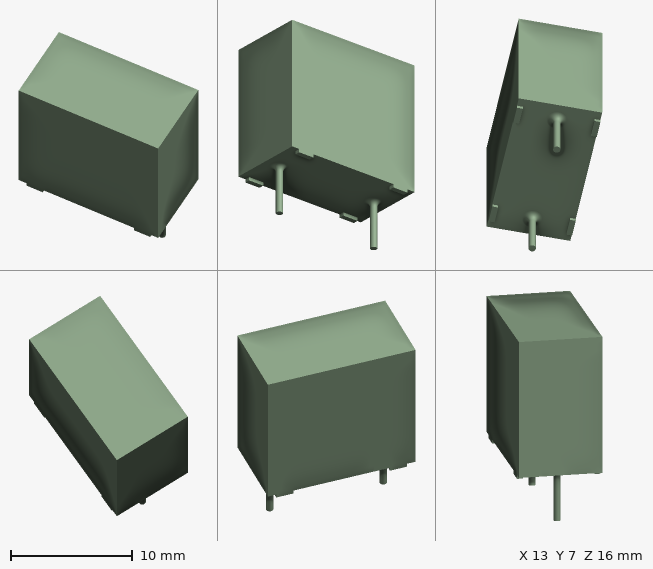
import cadquery as cq

TOTAL_HEIGHT = 16.0
BODY_LENGTH = 13.0
BODY_WIDTH = 7.0
BODY_BOTTOM = 4.3
BODY_HEIGHT = TOTAL_HEIGHT - BODY_BOTTOM

LEAD_PITCH = 10.0
LEAD_RADIUS = 0.6 / 2
FLARE_RADIUS = 0.51

FOOT_LENGTH = 1.5
FOOT_WIDTH = 0.5
FOOT_HEIGHT = 0.3

SIDES = (-1, 1)


def make_body():
    body = cq.Workplane("XY").box(BODY_LENGTH, BODY_WIDTH, BODY_HEIGHT, centered=(True, True, False))
    return body.translate((0, 0, BODY_BOTTOM))


def make_foot(x_side, y_side):
    """Stand-off foot beside a lead, flush with a long face of the body."""
    foot = cq.Workplane("XY").box(FOOT_LENGTH, FOOT_WIDTH, FOOT_HEIGHT, centered=(True, True, False))
    x = x_side * LEAD_PITCH / 2
    y = y_side * (BODY_WIDTH - FOOT_WIDTH) / 2
    return foot.translate((x, y, BODY_BOTTOM - FOOT_HEIGHT))


def make_lead(x_side):
    """Round lead, revolved with a quarter-circle flare at its root."""
    flare_bottom = BODY_BOTTOM - FLARE_RADIUS
    profile = (
        cq.Workplane("XZ")
        .moveTo(0, 0)
        .lineTo(LEAD_RADIUS, 0)
        .lineTo(LEAD_RADIUS, flare_bottom)
        .radiusArc((LEAD_RADIUS + FLARE_RADIUS, BODY_BOTTOM), FLARE_RADIUS)
        .lineTo(0, BODY_BOTTOM)
        .close()
    )
    lead = profile.revolve(360, (0, 0, 0), (0, 1, 0))
    return lead.translate((x_side * LEAD_PITCH / 2, 0, 0))


result = make_body()
for x_side in SIDES:
    result = result.union(make_lead(x_side))
    for y_side in SIDES:
        result = result.union(make_foot(x_side, y_side))